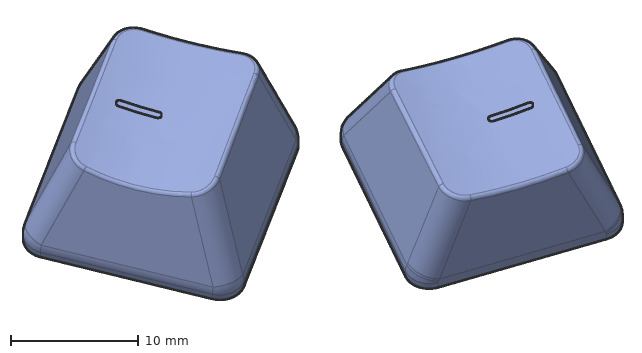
import cadquery as cq

base_size = 18.16
edge_radius = 2.0
shoulder_height = 1.02
blank_height = 10.9
side_lean = 0.375
front_lean = 0.395
back_lean = 0.076
rim_radius = 0.35

dish_half_width = 8.17
dish_front_floor = 7.97
dish_front_sag = 2.12
dish_back_floor = 8.86
dish_back_sag = 1.05
cutter_top = 14.53

groove_length = 3.75
groove_width = 0.58
groove_depth = 0.05
groove_x = -2.09
groove_y = 0.93

half_base = base_size / 2


def wall_profile(plane, left_lean, right_lean):
    """Slab through the whole cap: upright skirt below two leaning walls."""
    wall_rise = blank_height - shoulder_height
    return (
        cq.Workplane(plane)
        .moveTo(-half_base, 0)
        .lineTo(half_base, 0)
        .lineTo(half_base, shoulder_height)
        .lineTo(half_base - right_lean * wall_rise, blank_height)
        .lineTo(-half_base + left_lean * wall_rise, blank_height)
        .lineTo(-half_base, shoulder_height)
        .close()
        .extrude(base_size, both=True)
    )


def make_blank():
    """Undished cap with rounded corners and a rounded shoulder above the skirt."""
    across = wall_profile("XZ", side_lean, side_lean)
    along = wall_profile("YZ", front_lean, back_lean)
    blank = across.intersect(along)
    return blank.edges("not(<Z or >Z)").fillet(edge_radius)


def dish_section(y, floor, sag):
    """Cross-section of the dish cutter at one Y position."""
    edge_height = floor + sag
    return (
        cq.Workplane("XZ", origin=(0, y, 0))
        .moveTo(-dish_half_width, edge_height)
        .threePointArc((0, floor), (dish_half_width, edge_height))
        .lineTo(dish_half_width, cutter_top)
        .lineTo(-dish_half_width, cutter_top)
        .close()
        .val()
    )


def make_dish_cutter():
    """Everything above the dished top surface."""
    front = dish_section(-half_base, dish_front_floor, dish_front_sag)
    back = dish_section(half_base, dish_back_floor, dish_back_sag)
    return cq.Workplane(cq.Solid.makeLoft([front, back], True))


def make_groove_cutter(dish_cutter):
    """Round-ended slot whose floor follows the dish."""
    slot = (
        cq.Workplane("XY")
        .center(groove_x, groove_y)
        .slot2D(groove_length, groove_width)
        .extrude(blank_height)
    )
    return slot.intersect(dish_cutter.translate((0, 0, -groove_depth)))


dish_cutter = make_dish_cutter()
dished_cap = make_blank().cut(dish_cutter)
rounded_cap = dished_cap.faces(">Z").edges().fillet(rim_radius)
result = rounded_cap.cut(make_groove_cutter(dish_cutter))